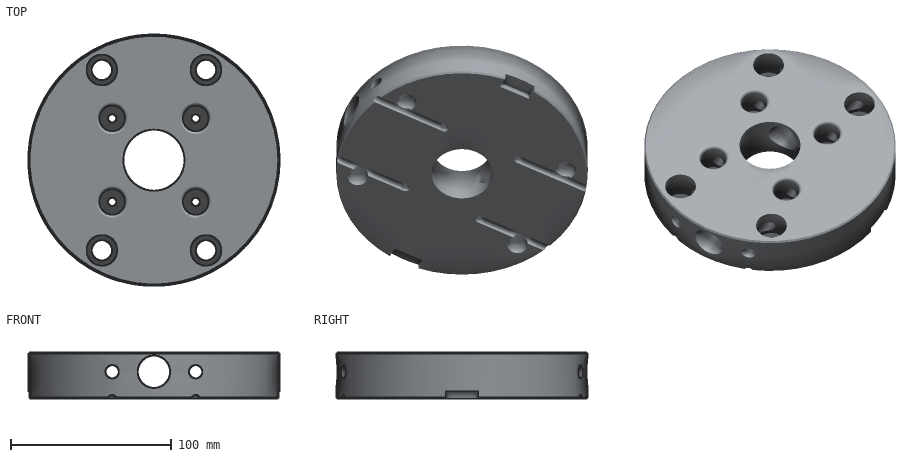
import cadquery as cq
import math

diameter = 157.0
height = 29.0
rim_chamfer = 1.0
bore_diameter = 38.0

bolt_circle_radius = 65.0
bolt_angle = 60.0
bolt_diameter = 12.5
bolt_head_diameter = 19.2
bolt_head_depth = 18.8

pocket_offset = 26.0
pocket_diameter = 16.0
pocket_depth = 18.8
pocket_edge_radius = 2.0
drain_diameter = 5.0

cross_hole_z = 17.0
center_cross_diameter = 20.1
side_cross_diameter = 8.2

notch_width = 20.4
notch_height = 4.7
notch_length = 7.8

groove_radius = drain_diameter / 2

radius = diameter / 2
signs = (-1, 1)


def four_corners(x, y):
    """Return the four mirror images of a point about the X and Y axes."""
    return [(x_sign * x, y_sign * y) for x_sign in signs for y_sign in signs]


def drill_down(body, points, width, depth):
    """Cut round holes of the given depth down from the top face."""
    drills = cq.Workplane("XY", origin=(0, 0, height)).pushPoints(points).circle(width / 2).extrude(-depth)
    return body.cut(drills)


def drill_across(body, x_positions, width):
    """Drill holes along Y through the whole disc."""
    points = [(x, cross_hole_z) for x in x_positions]
    drills = cq.Workplane("XZ").pushPoints(points).circle(width / 2).extrude(radius, both=True)
    return body.cut(drills)


def pocket_cutter():
    """Flat-floored pocket on the Z axis whose mouth flares out along a convex fillet."""
    wall_radius = pocket_diameter / 2
    floor_z = height - pocket_depth
    profile = (
        cq.Workplane("XZ")
        .moveTo(0, height)
        .lineTo(wall_radius + pocket_edge_radius, height)
        .radiusArc((wall_radius, height - pocket_edge_radius), -pocket_edge_radius)
        .lineTo(wall_radius, floor_z)
        .lineTo(0, floor_z)
        .close()
    )
    return profile.revolve(360, (0, 0, 0), (0, 1, 0))


def groove_cutter(y_length):
    """Half-round bar lying flat on the XY plane, running along Y from the origin."""
    profile = (
        cq.Workplane("XZ")
        .moveTo(-groove_radius, 0)
        .threePointArc((0, groove_radius), (groove_radius, 0))
        .close()
    )
    return profile.extrude(-y_length)


body = cq.Workplane("XY").circle(radius).extrude(height).edges().chamfer(rim_chamfer)
body = drill_down(body, [(0, 0)], bore_diameter, height)

bolt_x = bolt_circle_radius * math.cos(math.radians(bolt_angle))
bolt_y = bolt_circle_radius * math.sin(math.radians(bolt_angle))
bolt_points = four_corners(bolt_x, bolt_y)
body = drill_down(body, bolt_points, bolt_diameter, height)
body = drill_down(body, bolt_points, bolt_head_diameter, bolt_head_depth)

pocket_points = four_corners(pocket_offset, pocket_offset)
body = drill_down(body, pocket_points, drain_diameter, height)
for x, y in pocket_points:
    body = body.cut(pocket_cutter().translate((x, y, 0)))

body = drill_across(body, [0], center_cross_diameter)
body = drill_across(body, [-pocket_offset, pocket_offset], side_cross_diameter)

notch_blocks = (
    cq.Workplane("XY")
    .pushPoints([(-radius, 0), (radius, 0)])
    .rect(2 * notch_length, notch_width)
    .extrude(notch_height)
)
body = body.cut(notch_blocks)

for x, y in pocket_points:
    groove_length = math.copysign(radius - pocket_offset, y)
    body = body.cut(groove_cutter(groove_length).translate((x, y, 0)))

result = body